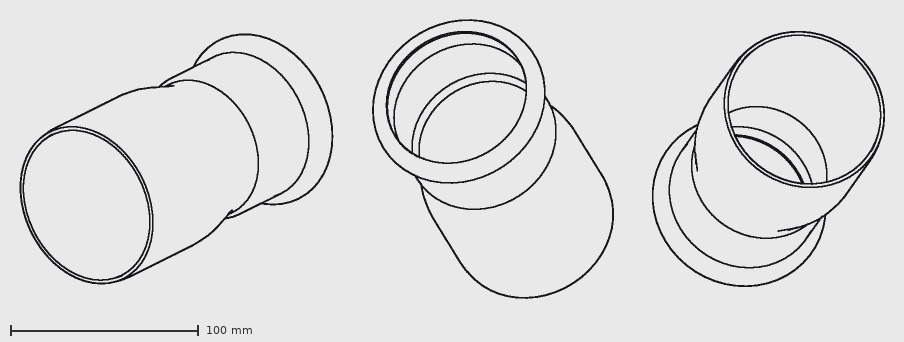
import cadquery as cq

LENGTH = 161.0
SPIGOT_END = -LENGTH / 2
SOCKET_END = LENGTH / 2
WALL = 2.01

SPIGOT_RADIUS = 88.9 / 2
SPIGOT_BORE = SPIGOT_RADIUS - WALL
NECK_RADIUS = 76.2 / 2
NECK_BORE = 72.0 / 2
SOCKET_RADIUS = 81.3 / 2
SOCKET_BORE = SOCKET_RADIUS - WALL

TIP_CONE_LENGTH = 3.7
TIP_BEND_LENGTH = 2.1
TIP_CONE_DROP = 0.5
TIP_SLOPE = TIP_CONE_DROP / TIP_CONE_LENGTH
TIP_BEND_DROP = TIP_SLOPE * TIP_BEND_LENGTH / 2
TIP_DROP = TIP_CONE_DROP + TIP_BEND_DROP

SPIGOT_LENGTH = 62.3
BULGE_LENGTH = 12.0
CONE_LENGTH = 18.5
NECK_BEND_LENGTH = 0.6

NECK_LENGTH = 9.7
SHOULDER_LENGTH = 4.5
SHOULDER_MIDDLE = 1.6
SHOULDER_INSET = 0.8
BEAD_LENGTH = 15.8
BEAD_ROUND_LENGTH = 9.0
BEAD_RADIUS = 94.7 / 2
BEAD_CONE_RADIUS = 45.7
BEAD_ROUNDING = 5.3
BEAD_CENTRE_RADIUS = BEAD_RADIUS - BEAD_ROUNDING

TIP_BEND_START = SPIGOT_END + TIP_CONE_LENGTH
TIP_BEND_END = TIP_BEND_START + TIP_BEND_LENGTH
BULGE_START = SPIGOT_END + SPIGOT_LENGTH
CONE_START = BULGE_START + BULGE_LENGTH
CONE_END = CONE_START + CONE_LENGTH
NECK_START = CONE_END + NECK_BEND_LENGTH
NECK_END = NECK_START + NECK_LENGTH
TUBE_START = NECK_END + SHOULDER_LENGTH
BEAD_START = SOCKET_END - BEAD_LENGTH
BEAD_ROUND_START = SOCKET_END - BEAD_ROUND_LENGTH
BEAD_CREST = SOCKET_END - BEAD_ROUNDING


def add_spigot_and_reducer(profile, spigot_radius, neck_radius):
    """Trace one skin from the spigot tip to the neck, every bend tangent to its neighbours."""
    slope = (spigot_radius - neck_radius) / (CONE_LENGTH + (BULGE_LENGTH + NECK_BEND_LENGTH) / 2)
    cone_start_radius = spigot_radius - slope * BULGE_LENGTH / 2
    cone_end_radius = neck_radius + slope * NECK_BEND_LENGTH / 2
    return (
        profile
        .lineTo(spigot_radius - TIP_BEND_DROP, TIP_BEND_START)
        .tangentArcPoint((spigot_radius, TIP_BEND_END), relative=False)
        .lineTo(spigot_radius, BULGE_START)
        .tangentArcPoint((cone_start_radius, CONE_START), relative=False)
        .lineTo(cone_end_radius, CONE_END)
        .tangentArcPoint((neck_radius, NECK_START), relative=False)
        .lineTo(neck_radius, NECK_END)
    )


def add_socket(profile):
    """Trace the outer skin of the shoulder, the socket tube and the bead."""
    return (
        profile
        .threePointArc(
            (SOCKET_RADIUS - SHOULDER_INSET, NECK_END + SHOULDER_MIDDLE),
            (SOCKET_RADIUS, TUBE_START),
        )
        .lineTo(SOCKET_RADIUS, BEAD_START)
        .lineTo(BEAD_CONE_RADIUS, BEAD_ROUND_START)
        .threePointArc((BEAD_RADIUS, BEAD_CREST), (BEAD_CENTRE_RADIUS, SOCKET_END))
    )


def revolve_about_axis(profile):
    """Close a (radius, Y) profile through the axis and turn it around Y."""
    return profile.lineTo(0, SOCKET_END).close().revolve(360, (0, 0, 0), (0, 1, 0))


def start_profile(spigot_radius):
    """Begin a profile on the axis, at the end face of the spigot."""
    return (
        cq.Workplane("XY")
        .moveTo(0, SPIGOT_END)
        .lineTo(spigot_radius - TIP_DROP, SPIGOT_END)
    )


def make_outer_shape():
    profile = add_spigot_and_reducer(start_profile(SPIGOT_RADIUS), SPIGOT_RADIUS, NECK_RADIUS)
    return revolve_about_axis(add_socket(profile))


def make_bore():
    """Bore through the whole fitting, stepped wider inside the socket."""
    profile = add_spigot_and_reducer(start_profile(SPIGOT_BORE), SPIGOT_BORE, NECK_BORE)
    return revolve_about_axis(
        profile
        .lineTo(SOCKET_BORE, TUBE_START)
        .lineTo(SOCKET_BORE, SOCKET_END)
    )


def make_bead_groove():
    """Seal groove inside the bead, one wall thickness below its outer skin."""
    inner_share = (BEAD_ROUNDING - WALL) / BEAD_ROUNDING
    round_start = (
        BEAD_CENTRE_RADIUS + (BEAD_CONE_RADIUS - BEAD_CENTRE_RADIUS) * inner_share,
        BEAD_CREST + (BEAD_ROUND_START - BEAD_CREST) * inner_share,
    )
    return (
        cq.Workplane("XY")
        .moveTo(SOCKET_BORE, BEAD_START)
        .lineTo(*round_start)
        .threePointArc(
            (BEAD_RADIUS - WALL, BEAD_CREST),
            (BEAD_CENTRE_RADIUS, SOCKET_END - WALL),
        )
        .lineTo(SOCKET_BORE, SOCKET_END - WALL)
        .close()
        .revolve(360, (0, 0, 0), (0, 1, 0))
    )


fitting = make_outer_shape().cut(make_bore()).cut(make_bead_groove())
result = cq.Compound.makeCompound([fitting.solids().val()])